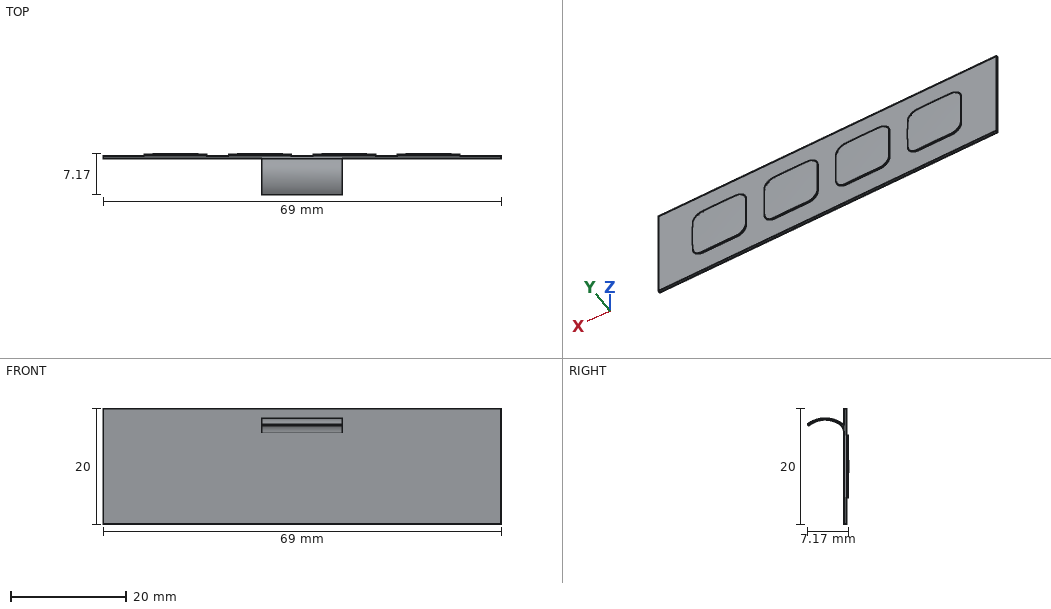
import cadquery as cq
import math

plate_length = 69.0
plate_height = 20.0
plate_thickness = 0.5

pad_count = 4
pad_pitch = 14.6
pad_side = 10.8
pad_corner_radius = 2.0
pad_height = 0.365
pad_edge_height = 0.3

lip_width = 14.0
lip_thickness = 0.31
lip_outer_radius = 5.0
lip_reach = 6.3
crest_below_top = 1.65
tip_angle = math.radians(38)
root_fillet = 1.8


def make_plate():
    return cq.Workplane("XY").box(
        plate_length, plate_thickness, plate_height, centered=(True, False, True)
    )


def make_pad(x):
    """Pad trimmed by a large sphere: full height in the middle, lower along its sides."""
    half_side = pad_side / 2
    crown_drop = pad_height - pad_edge_height
    sphere_radius = (half_side**2 + crown_drop**2) / (2 * crown_drop)
    crown_y = plate_thickness + pad_height
    sphere = cq.Workplane("XY").sphere(sphere_radius).translate((0, crown_y - sphere_radius, 0))
    return (
        cq.Workplane("XY")
        .box(pad_side, crown_y, pad_side, centered=(True, False, True))
        .edges("|Y")
        .fillet(pad_corner_radius)
        .intersect(sphere)
        .translate((x, 0, 0))
    )


def make_lip():
    """Thin arched strip, blended into the plate under its root."""
    inner_radius = lip_outer_radius - lip_thickness
    center_y = lip_outer_radius * math.sin(tip_angle) - lip_reach
    center_z = plate_height / 2 - crest_below_top - lip_outer_radius

    def arc_point(radius, angle):
        """Point on an arc of the lip; the angle runs from the crest towards the tip."""
        return (center_y - radius * math.sin(angle), center_z + radius * math.cos(angle))

    outer_root = arc_point(lip_outer_radius, math.asin(center_y / lip_outer_radius))

    fillet_y = -root_fillet
    fillet_angle = math.asin((fillet_y - center_y) / (inner_radius - root_fillet))
    fillet_z = center_z + (inner_radius - root_fillet) * math.cos(fillet_angle)
    inner_root = arc_point(inner_radius, -fillet_angle)
    fillet_mid_angle = (fillet_angle + math.pi / 2) / 2
    fillet_mid = (
        fillet_y + root_fillet * math.sin(fillet_mid_angle),
        fillet_z + root_fillet * math.cos(fillet_mid_angle),
    )

    return (
        cq.Workplane("YZ")
        .moveTo(*outer_root)
        .threePointArc(arc_point(lip_outer_radius, 0), arc_point(lip_outer_radius, tip_angle))
        .lineTo(*arc_point(inner_radius, tip_angle))
        .threePointArc(arc_point(inner_radius, 0), inner_root)
        .threePointArc(fillet_mid, (0, fillet_z))
        .close()
        .extrude(lip_width / 2, both=True)
    )


result = make_plate().union(make_lip())
for index in range(pad_count):
    pad_x = (index - (pad_count - 1) / 2) * pad_pitch
    result = result.union(make_pad(pad_x))